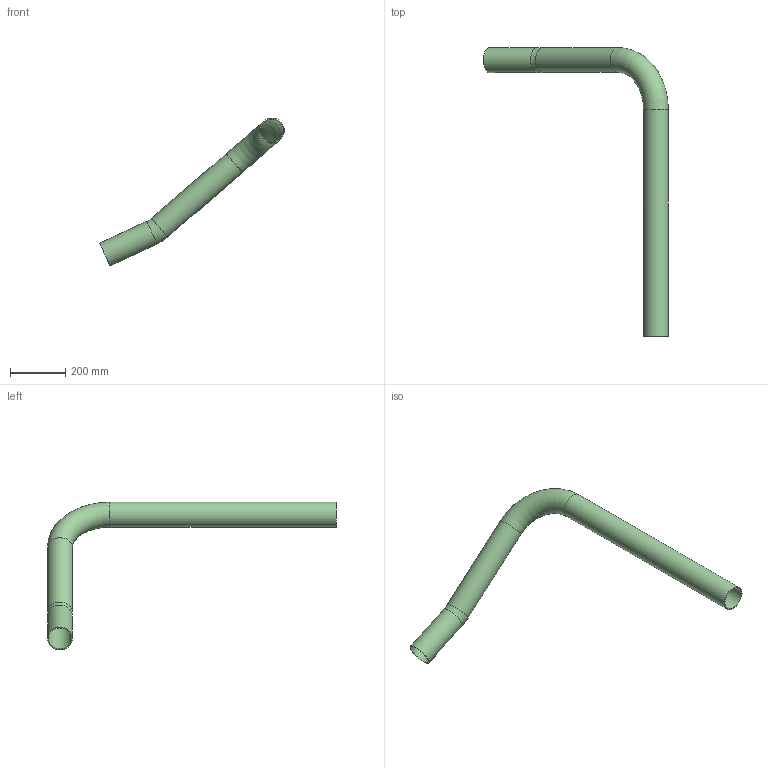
import cadquery as cq
import math

outer_diameter = 90.0
wall_thickness = 3.0

long_leg_length = 820.0
middle_leg_length = 356.4
tail_length = 188.0

main_bend_radius = 180.0
tail_bend_radius = 120.0

middle_leg_slope = 40.8
tail_slope = 25.0


def downhill(slope):
    """Unit vector in the XZ plane heading to -X and down at the given slope."""
    angle = math.radians(slope)
    return cq.Vector(-math.cos(angle), 0, -math.sin(angle))


def straight(start, direction, length):
    """Straight centreline edge."""
    return cq.Edge.makeLine(start, start + direction * length)


def bend(start, direction_in, direction_out, radius):
    """Centreline arc that turns from one unit direction to another."""
    turn = direction_in.getAngle(direction_out)
    tangent_length = radius * math.tan(turn / 2)
    end = start + (direction_in + direction_out) * tangent_length
    return cq.Edge.makeTangentArc(start, direction_in, end)


def tube_centreline():
    """Long leg along +Y, main bend, sloping middle leg, slight bend and tail."""
    long_leg_direction = cq.Vector(0, 1, 0)
    middle_direction = downhill(middle_leg_slope)
    tail_direction = downhill(tail_slope)

    long_leg = straight(cq.Vector(0, 0, 0), long_leg_direction, long_leg_length)
    main_bend = bend(long_leg.endPoint(), long_leg_direction, middle_direction, main_bend_radius)
    middle_leg = straight(main_bend.endPoint(), middle_direction, middle_leg_length)
    tail_bend = bend(middle_leg.endPoint(), middle_direction, tail_direction, tail_bend_radius)
    tail = straight(tail_bend.endPoint(), tail_direction, tail_length)
    return cq.Wire.assembleEdges([long_leg, main_bend, middle_leg, tail_bend, tail])


def bent_tube():
    """Round hollow section swept along the centreline, open at both ends."""
    outer_radius = outer_diameter / 2
    inner_radius = outer_radius - wall_thickness
    section = cq.Workplane("XZ").circle(outer_radius).circle(inner_radius)
    return section.sweep(cq.Workplane(obj=tube_centreline()))


result = bent_tube()